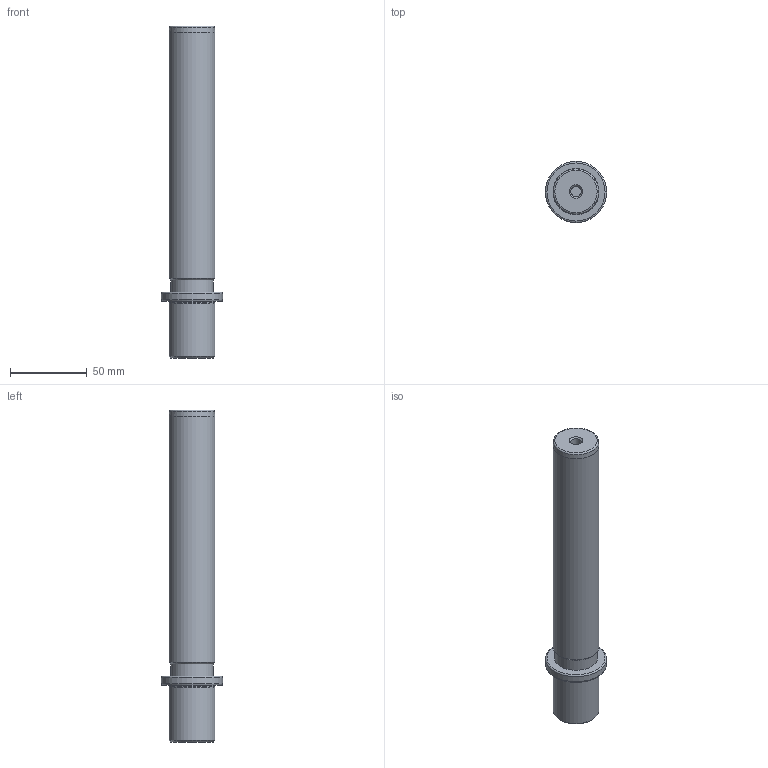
import cadquery as cq

total_length = 217.0
collar_bottom = 37.0
collar_thickness = 6.0
neck_length = 8.0
collar_top = collar_bottom + collar_thickness
guide_bottom = collar_top + neck_length

shank_diameter = 30.0
collar_diameter = 40.0
neck_diameter = 28.0
guide_diameter = 30.0

shank_chamfer = 1.0
collar_fillet = 1.0
guide_chamfer = 1.0
guide_top_fillet = 1.0
lead_length = 4.0
lead_taper = 0.2

relief_height = 1.3
relief_depth = 0.25
relief_bevel_height = 0.5

hole_diameter = 6.8
hole_depth = 20.0
countersink_diameter = 8.8


def cylinder(diameter, bottom, top):
    """Solid cylinder on the Z axis between two heights."""
    return cq.Workplane("XY").workplane(offset=bottom).circle(diameter / 2).extrude(top - bottom)


def cone(bottom_diameter, top_diameter, bottom, top):
    """Solid truncated cone on the Z axis between two heights."""
    lower = cq.Workplane("XY").workplane(offset=bottom).circle(bottom_diameter / 2)
    return lower.workplane(offset=top - bottom).circle(top_diameter / 2).loft()


def make_shank():
    """Press-fit shank with a chamfered end and a bevelled relief groove below the collar."""
    relief_bottom = collar_bottom - relief_height
    body = cylinder(shank_diameter, 0, relief_bottom)
    body = body.faces("<Z").edges().chamfer(shank_chamfer)
    relief_diameter = shank_diameter - 2 * relief_depth
    bevel_top = relief_bottom + relief_bevel_height
    bevel = cone(shank_diameter, relief_diameter, relief_bottom, bevel_top)
    relief = cylinder(relief_diameter, bevel_top, collar_bottom)
    return body.union(bevel).union(relief)


def make_collar():
    """Locating collar with both rims rounded."""
    return cylinder(collar_diameter, collar_bottom, collar_top).edges().fillet(collar_fillet)


def make_guide():
    """Guide cylinder with a slightly tapered lead at its rounded top end."""
    lead_bottom = total_length - lead_length
    body = cylinder(guide_diameter, guide_bottom, lead_bottom)
    body = body.faces("<Z").edges().chamfer(guide_chamfer)
    lead = cone(guide_diameter, guide_diameter - 2 * lead_taper, lead_bottom, total_length)
    lead = lead.faces(">Z").edges().fillet(guide_top_fillet)
    return body.union(lead)


def make_hole():
    """Blind countersunk hole, as a solid to be cut from the top end."""
    bore = cylinder(hole_diameter, total_length - hole_depth, total_length)
    countersink_depth = (countersink_diameter - hole_diameter) / 2
    countersink = cone(hole_diameter, countersink_diameter, total_length - countersink_depth, total_length)
    return bore.union(countersink)


neck = cylinder(neck_diameter, collar_top, guide_bottom)
pin = make_shank().union(make_collar()).union(neck).union(make_guide())
result = pin.cut(make_hole())